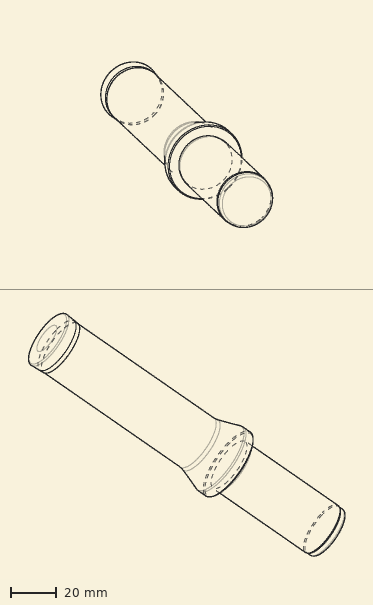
import cadquery as cq
import math

total_length = 159.0
shank_radius = 26.0 / 2
spigot_radius = 25.0 / 2
relief_radius = 24.5 / 2

cap_length = 7.75
cap_socket_x = 5.75
cap_rim_x = 0.5
cap_rim_radius = 13.6
cap_rim_fillet = 0.7
cap_lip_radius = shank_radius + 0.1
dish_radius = 6.8
dish_depth = 0.6

collar_radius = 34.0 / 2
cone_start_x = 86.0
cone_end_x = 98.0
collar_end_x = 103.0
collar_chamfer = 0.5
cone_root_tangent = 1.0
cone_crest_tangent = 0.5

neck_end_x = 104.1
neck_taper_length = 1.0
lead_step_x = 155.4
lead_taper_length = 0.6
end_fillet = 1.0

cone_angle = math.atan2(collar_radius - shank_radius, cone_end_x - cone_start_x)
cone_root_fillet = cone_root_tangent / math.tan(cone_angle / 2)
cone_crest_fillet = cone_crest_tangent / math.tan(cone_angle / 2)


def revolve_about_x(points):
    """Revolve a closed (x, radius) outline around the X axis."""
    return cq.Workplane("XY").polyline(points).close().revolve(360, (0, 0, 0), (1, 0, 0))


def circle_edge_at(x):
    """Selector for the circular edge whose centre lies at the given x."""
    reach = 2 * collar_radius
    tolerance = 0.01
    return cq.selectors.BoxSelector((x - tolerance, -reach, -reach), (x + tolerance, reach, reach))


def make_cap():
    """Cap with a dished, slightly conical face, a rounded rim and a thin lip around the pillar."""
    cap = revolve_about_x([
        (dish_depth, 0),
        (0, dish_radius),
        (cap_rim_x, cap_rim_radius),
        (cap_length, cap_lip_radius),
        (cap_length, shank_radius),
        (cap_socket_x, shank_radius),
        (cap_socket_x, 0),
    ])
    return cap.edges(circle_edge_at(cap_rim_x)).fillet(cap_rim_fillet)


def make_pillar():
    """Pillar with its shank, conical collar, relief neck, spigot and rounded lead-in."""
    pillar = revolve_about_x([
        (cap_socket_x, 0),
        (cap_socket_x, shank_radius),
        (cone_start_x, shank_radius),
        (cone_end_x, collar_radius),
        (collar_end_x - collar_chamfer, collar_radius),
        (collar_end_x, collar_radius - collar_chamfer),
        (collar_end_x, relief_radius),
        (neck_end_x, relief_radius),
        (neck_end_x + neck_taper_length, spigot_radius),
        (lead_step_x, spigot_radius),
        (lead_step_x + lead_taper_length, relief_radius),
        (total_length, relief_radius),
        (total_length, 0),
    ])
    pillar = pillar.edges(circle_edge_at(cone_start_x)).fillet(cone_root_fillet)
    pillar = pillar.edges(circle_edge_at(cone_end_x)).fillet(cone_crest_fillet)
    return pillar.edges(circle_edge_at(total_length)).fillet(end_fillet)


cap = make_cap()
pillar = make_pillar()
result = cq.Compound.makeCompound([cap.val(), pillar.val()])